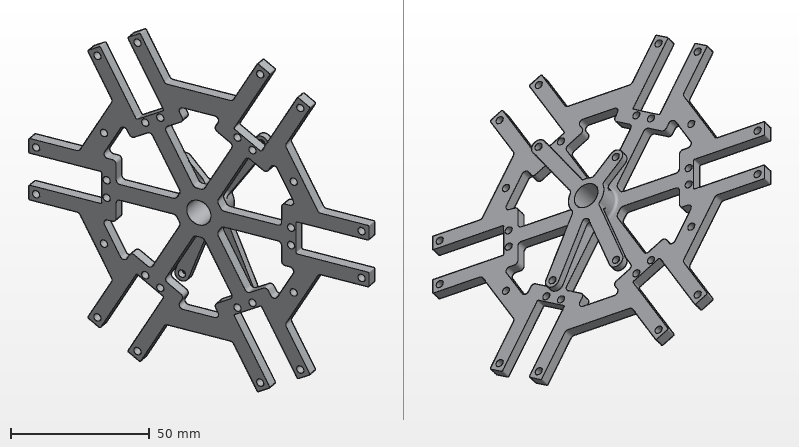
import cadquery as cq
import math

sectors = 6
sector_angle = 360 / sectors
plate_thickness = 4.3
arm_reach = 70.0
slot_width = 13.0
arm_width = 6.0
arm_outer = slot_width / 2 + arm_width
slot_floor = 40.0
block_inner = 34.0
rim_outer = 49.0
rim_inner = 41.0
spoke_width = 6.5
bore_diameter = 10.0
hub_radius = 9.8

hub_fillet = 2.0
window_fillet = 1.5
rim_fillet = 1.5
small_fillet = 0.5

hole_diameter = 3.0
tip_hole_radius = arm_reach - arm_width / 2
block_hole_radius = 37.9
block_hole_spacing = 7.1
rim_hole_radius = 45.0
rim_hole_angles = (30, 150, 210, 330)

total_depth = 13.0
boss_height = total_depth - plate_thickness
boss_diameter = 15.0
horn_thickness = 3.0
horn_width = 5.9
horn_fillet = 1.4
horn_flare = 1.5
foot_flare = 1.1
horn_hole_diameter = 3.0
horn_arms = (
    (55, 35.0),
    (135, 17.6),
    (249, 35.0),
    (294, 35.0),
)


def polar(radius, angle):
    """Point at a radius and an angle in degrees."""
    turn = math.radians(angle)
    return (radius * math.cos(turn), radius * math.sin(turn))


def turned(point, angle):
    """Point turned about the axis by an angle in degrees."""
    x, z = point
    turn = math.radians(angle)
    return (
        x * math.cos(turn) - z * math.sin(turn),
        x * math.sin(turn) + z * math.cos(turn),
    )


def front_solid(points):
    """Prism of the plate's thickness over a closed outline."""
    return cq.Workplane("XZ").polyline(points).close().extrude(plate_thickness)


def edges_near(solid, points):
    """Y-parallel edges of a plate solid standing on the given points."""
    picked = solid.edges("|Y")
    tolerance = 0.01

    def matches(edge):
        center = edge.Center()
        return any(math.dist((center.x, center.z), point) < tolerance for point in points)

    return picked.filter(matches)


def on_hexagon(apothem, z):
    """X of the hexagon side facing 30 degrees, at height z."""
    half_sector = math.radians(sector_angle / 2)
    return (apothem - z * math.sin(half_sector)) / math.cos(half_sector)


def outer_body():
    """Rim and arms as one outline, without the windows."""
    arm_corners = [
        (on_hexagon(rim_outer, arm_outer), -arm_outer),
        (arm_reach, -arm_outer),
        (arm_reach, -slot_width / 2),
        (slot_floor, -slot_width / 2),
        (slot_floor, slot_width / 2),
        (arm_reach, slot_width / 2),
        (arm_reach, arm_outer),
        (on_hexagon(rim_outer, arm_outer), arm_outer),
    ]
    outline = []
    rim_corners = []
    for sector in range(sectors):
        corners = [turned(corner, sector * sector_angle) for corner in arm_corners]
        outline += corners
        rim_corners += [corners[0], corners[-1]]
    arm_only = [point for point in outline if point not in rim_corners]
    body = front_solid(outline)
    body = edges_near(body, rim_corners).fillet(rim_fillet)
    return edges_near(body, arm_only).fillet(small_fillet)


def window():
    """Opening between two spokes, centred on the 30 degree direction."""
    spoke_side = spoke_width / 2
    middle = sector_angle / 2
    spokes_meet = spoke_side / math.sin(math.radians(middle))
    hub_half = (hub_radius - spokes_meet) * math.tan(math.radians(middle))
    hub_end = [turned((hub_radius, side * hub_half), middle) for side in (1, -1)]
    lower = [
        (block_inner, spoke_side),
        (block_inner, arm_outer),
        (on_hexagon(rim_inner, arm_outer), arm_outer),
    ]
    upper = [turned((x, -z), sector_angle) for x, z in reversed(lower)]
    opening = front_solid(hub_end + lower + upper)
    opening = edges_near(opening, hub_end).fillet(hub_fillet)
    return edges_near(opening, lower + upper).fillet(window_fillet)


def plate_hole_points():
    """Centres of the rim, arm tip and block holes."""
    points = [polar(rim_hole_radius, angle) for angle in rim_hole_angles]
    tip_hole_offset = (slot_width + arm_width) / 2
    for sector in range(sectors):
        for side in (-1, 1):
            tip_hole = (tip_hole_radius, side * tip_hole_offset)
            block_hole = (block_hole_radius, side * block_hole_spacing / 2)
            points.append(turned(tip_hole, sector * sector_angle))
            points.append(turned(block_hole, sector * sector_angle))
    return points


def plate():
    """Plate with its six windows and its screw holes."""
    body = outer_body()
    opening = window()
    for sector in range(sectors):
        body = body.cut(opening.rotate((0, 0, 0), (0, 1, 0), sector * sector_angle))
    holes = (
        cq.Workplane("XZ")
        .pushPoints(plate_hole_points())
        .circle(hole_diameter / 2)
        .extrude(plate_thickness)
    )
    return body.cut(holes)


def horn_layer(bottom):
    """Sketch plane across the horn axis at a position along Y."""
    return cq.Workplane("XZ", origin=(0, bottom, 0))


def horn_arm(angle, reach, bottom, height):
    """Round-ended arm pointing along +X, turned to its direction."""
    half_width = horn_width / 2
    arm = (
        horn_layer(bottom)
        .moveTo(0, -half_width)
        .lineTo(reach, -half_width)
        .threePointArc((reach + half_width, 0), (reach, half_width))
        .lineTo(0, half_width)
        .close()
        .extrude(-height)
    )
    return arm.rotate((0, 0, 0), (0, 1, 0), -angle)


def horn_prism(bottom, height):
    """Outline of the horn with rounded arm roots, raised from the bottom along Y."""
    body = horn_layer(bottom).circle(boss_diameter / 2).extrude(-height)
    for angle, reach in horn_arms:
        body = body.union(horn_arm(angle, reach, bottom, height))

    def is_root(edge):
        center = edge.Center()
        return math.hypot(center.x, center.z) < boss_diameter / 2 + horn_fillet

    return body.edges("|Y").filter(is_root).fillet(horn_fillet)


def boss_flare(level, radius, toward):
    """Ring blending the boss into a face; toward is +1 or -1 along Y from that face."""
    inner = bore_diameter / 2
    boss_radius = boss_diameter / 2
    far_level = level + toward * radius
    bend = radius * (1 - math.sqrt(0.5))
    return (
        cq.Workplane("XY")
        .moveTo(inner, level)
        .lineTo(boss_radius + radius, level)
        .threePointArc((boss_radius + bend, level + toward * bend), (boss_radius, far_level))
        .lineTo(inner, far_level)
        .close()
        .revolve(360, (0, 0, 0), (0, 1, 0))
    )


def horn():
    """Boss, arms and the blends between them, behind the plate."""
    underside = boss_height - horn_thickness
    boss = cq.Workplane("XZ").circle(boss_diameter / 2).extrude(-boss_height)
    root_flare = boss_flare(underside, horn_flare, -1).intersect(
        horn_prism(underside - horn_flare, horn_flare)
    )
    holes = (
        cq.Workplane("XZ")
        .pushPoints([polar(reach, angle) for angle, reach in horn_arms])
        .circle(horn_hole_diameter / 2)
        .extrude(-boss_height)
    )
    body = boss.union(horn_prism(underside, horn_thickness))
    return body.union(root_flare).union(boss_flare(0, foot_flare, 1)).cut(holes)


bore = cq.Workplane("XZ").circle(bore_diameter / 2).extrude(total_depth, both=True)
result = plate().union(horn()).cut(bore)